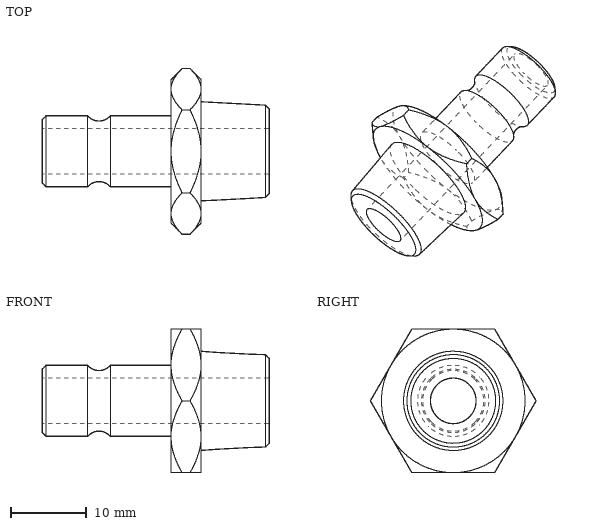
import cadquery as cq
import math

total_length = 30.0
plug_length = 17.0
hex_thickness = 4.0
hex_end = plug_length + hex_thickness

bore_radius = 3.0
plug_radius = 4.7
hex_across_flats = 19.0
taper_start_radius = 6.57
taper_end_radius = 6.12

groove_start = 6.0
groove_width = 3.0
groove_depth = 0.7
groove_end = groove_start + groove_width
groove_middle = groove_start + groove_width / 2

end_chamfer = 0.5


def make_stem():
    """Turned body: grooved plug, core through the hexagon, and tapered end."""
    profile = (
        cq.Workplane("XY")
        .moveTo(0, 0)
        .lineTo(0, plug_radius - end_chamfer)
        .lineTo(end_chamfer, plug_radius)
        .lineTo(groove_start, plug_radius)
        .threePointArc((groove_middle, plug_radius - groove_depth), (groove_end, plug_radius))
        .lineTo(hex_end, plug_radius)
        .lineTo(hex_end, taper_start_radius)
        .lineTo(total_length - end_chamfer, taper_end_radius)
        .lineTo(total_length, taper_end_radius - end_chamfer)
        .lineTo(total_length, 0)
        .close()
    )
    return profile.revolve(360, (0, 0, 0), (1, 0, 0))


def make_hexagon():
    """Wrench hexagon with corners along Y, its corners turned off at 45 degrees on both faces."""
    corner_radius = hex_across_flats / math.sqrt(3)
    face_radius = hex_across_flats / 2
    corner_chamfer = corner_radius - face_radius

    prism = (
        cq.Workplane("YZ", origin=(plug_length, 0, 0))
        .polygon(6, 2 * corner_radius)
        .extrude(hex_thickness)
    )
    chamfered_disc = (
        cq.Workplane("YZ", origin=(plug_length, 0, 0))
        .circle(corner_radius)
        .extrude(hex_thickness)
        .edges("%CIRCLE")
        .chamfer(corner_chamfer)
    )
    return prism.intersect(chamfered_disc)


def make_bore():
    """Straight passage through the whole part."""
    return cq.Workplane("YZ").circle(bore_radius).extrude(total_length)


result = make_stem().union(make_hexagon()).cut(make_bore())